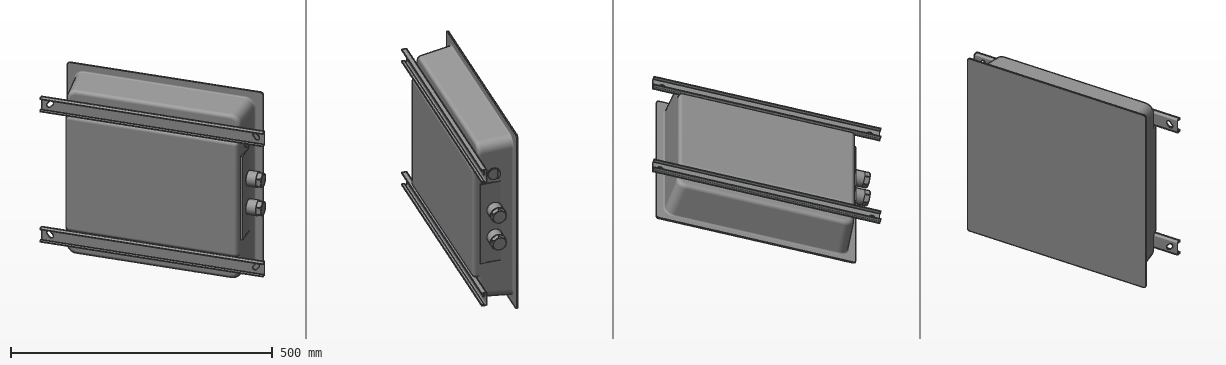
import cadquery as cq
import math


TOLERANCE = 0.05

FLANGE_SIZE = 395.0
FLANGE_THICKNESS = 3.0
FLANGE_CORNER_RADIUS = 5.5
PAN_MOUTH = 362.5
DRAFT_ANGLE = 5.0
LEDGE_DEPTH = 73.0
FACE_DEPTH = 83.0
STEP_HEIGHT = 124.0
PAN_CORNER_RADIUS = 20.0
STEP_FOOT_RADIUS = 1.5
RIM_RADIUS = 7.5
ROOT_RADIUS = 3.0

PAD_FACE_X = 179.0
PAD_DEPTH = 69.8
PAD_HEIGHT = 180.0
PAD_THICKNESS = 6.8

RAIL_LENGTH = 450.0
RAIL_HEIGHT = 30.0
RAIL_FRONT = 84.0
RAIL_SHEET = 1.5
RAIL_BEND = 2.5
HEM_LENGTH = 6.0
HEM_GAP = 1.0
RAIL_OFFSET = 140.5
SLOT_LENGTH = 16.0
SLOT_WIDTH = 9.0
SLOT_OFFSET = 208.0
SLOT_ANGLE = 50.0

FITTING_DEPTH = 42.5
GLAND_HEIGHTS = (30.5, -30.5)
GLAND_NECK_RADIUS = 9.5
GLAND_BODY_RADIUS = 15.5
GLAND_BODY_START = 182.0
GLAND_BODY_END = 201.0
GLAND_END = 212.0
NUT_CORNER_DIAMETER = 31.5
NUT_TURNED_RADIUS = 15.5
NUT_CHAMFER = 2.2
PLUG_HEIGHT = 110.0
PLUG_RADIUS = 12.0
PLUG_SEAT_X = 177.5
PLUG_FACE_X = 181.0
PLUG_LIP_X = 183.5
PLUG_LIP_OFFSET = 6.8


def x_cylinder(radius, start_x, end_x, height):
    """Cylinder along X on the fitting axis at the given height."""
    return (
        cq.Workplane("YZ", origin=(start_x, -FITTING_DEPTH, height))
        .circle(radius)
        .extrude(end_x - start_x)
    )


def edge_box(half_width, half_height, near_depth, far_depth):
    """Selector for the edges whose centres lie in a block centred on the Y axis."""
    return cq.selectors.BoxSelector(
        (-half_width, -far_depth, -half_height),
        (half_width, -near_depth, half_height),
    )


def ledge_cutter(side):
    """Block beyond the step on one end (side = 1 top, -1 bottom), in front of the ledge."""
    depth = FACE_DEPTH
    reach = FLANGE_SIZE / 2 - STEP_HEIGHT
    return cq.Workplane("XY").box(FLANGE_SIZE, depth, reach).translate(
        (0, -LEDGE_DEPTH - depth / 2, side * (STEP_HEIGHT + reach / 2))
    )


def make_tray():
    """Drafted tray with rounded corners, a ledge at each end and a rounded rim."""
    tray = (
        cq.Workplane("XZ", origin=(0, -FLANGE_THICKNESS, 0))
        .rect(PAN_MOUTH, PAN_MOUTH)
        .extrude(FACE_DEPTH - FLANGE_THICKNESS, taper=DRAFT_ANGLE)
    )
    tray = tray.faces("not |Y").edges("not #Y").fillet(PAN_CORNER_RADIUS)
    for side in (1, -1):
        tray = tray.cut(ledge_cutter(side))

    step_feet = edge_box(TOLERANCE, STEP_HEIGHT + TOLERANCE, LEDGE_DEPTH - TOLERANCE, LEDGE_DEPTH + TOLERANCE)
    tray = tray.edges(step_feet).fillet(STEP_FOOT_RADIUS)

    front = edge_box(FLANGE_SIZE, FLANGE_SIZE, LEDGE_DEPTH - TOLERANCE, FACE_DEPTH + TOLERANCE)
    foot_edges = edge_box(
        TOLERANCE,
        STEP_HEIGHT + STEP_FOOT_RADIUS + TOLERANCE,
        LEDGE_DEPTH - TOLERANCE,
        LEDGE_DEPTH + STEP_FOOT_RADIUS + TOLERANCE,
    )
    return tray.edges(front - foot_edges).fillet(RIM_RADIUS)


def make_wall_pad():
    """Flat-faced pad, partly buried in the drafted +X wall."""
    return cq.Workplane("XY").box(
        PAD_THICKNESS, PAD_DEPTH - FLANGE_THICKNESS, PAD_HEIGHT
    ).translate((PAD_FACE_X - PAD_THICKNESS / 2, -(PAD_DEPTH + FLANGE_THICKNESS) / 2, 0))


def make_pan():
    """Flange, tray and gland pad in one piece, with seats for the wall fittings."""
    flange = (
        cq.Workplane("XZ")
        .rect(FLANGE_SIZE, FLANGE_SIZE)
        .extrude(FLANGE_THICKNESS)
        .edges("|Y")
        .fillet(FLANGE_CORNER_RADIUS)
    )
    pan = flange.union(make_tray())
    inside_flange = (PAN_MOUTH + FLANGE_SIZE) / 4
    root = edge_box(
        inside_flange, inside_flange, FLANGE_THICKNESS - TOLERANCE, FLANGE_THICKNESS + TOLERANCE
    )
    pan = pan.edges(root).fillet(ROOT_RADIUS)
    pan = pan.union(make_wall_pad())
    for height in GLAND_HEIGHTS:
        pan = pan.cut(x_cylinder(GLAND_NECK_RADIUS, PAD_FACE_X, GLAND_BODY_START, height))
    return pan.cut(x_cylinder(PLUG_RADIUS, PLUG_SEAT_X, PLUG_LIP_X, PLUG_HEIGHT))


def rail_half_profile():
    """Upper half of the rail section: web, bend, flange and the hem folded back inside it."""
    top = RAIL_HEIGHT / 2
    back = -LEDGE_DEPTH
    front = -RAIL_FRONT
    hem_radius = RAIL_SHEET + HEM_GAP / 2
    inner_bend = RAIL_BEND - RAIL_SHEET
    slant = math.sqrt(0.5)
    bend_y = back - RAIL_BEND
    bend_z = top - RAIL_BEND
    hem_y = front + hem_radius
    hem_z = top - hem_radius
    hem_end = front + HEM_LENGTH
    return (
        cq.Workplane("YZ", origin=(-RAIL_LENGTH / 2, 0, 0))
        .moveTo(back, 0)
        .lineTo(back, bend_z)
        .threePointArc((bend_y + RAIL_BEND * slant, bend_z + RAIL_BEND * slant), (bend_y, top))
        .lineTo(hem_y, top)
        .threePointArc((front, hem_z), (hem_y, top - 2 * hem_radius))
        .lineTo(hem_end, top - 2 * hem_radius)
        .lineTo(hem_end, hem_z - HEM_GAP / 2)
        .lineTo(hem_y, hem_z - HEM_GAP / 2)
        .threePointArc((hem_y - HEM_GAP / 2, hem_z), (hem_y, hem_z + HEM_GAP / 2))
        .lineTo(bend_y, top - RAIL_SHEET)
        .threePointArc(
            (bend_y + inner_bend * slant, bend_z + inner_bend * slant),
            (back - RAIL_SHEET, bend_z),
        )
        .lineTo(back - RAIL_SHEET, 0)
        .close()
    )


def make_rail(side):
    """Hemmed channel on the upper (side = 1) or lower (side = -1) ledge."""
    upper_half = rail_half_profile().extrude(RAIL_LENGTH)
    rail = upper_half.union(upper_half.mirror("XY")).clean()
    for end in (1, -1):
        slot = (
            cq.Workplane("XZ")
            .center(end * SLOT_OFFSET, 0)
            .transformed(rotate=(0, 0, -end * side * SLOT_ANGLE))
            .slot2D(SLOT_LENGTH, SLOT_WIDTH)
            .extrude(RAIL_FRONT)
        )
        rail = rail.cut(slot)
    return rail.translate((0, 0, side * RAIL_OFFSET))


def make_gland(height):
    """Cable gland: neck, round body and a hexagonal nut with a turned end."""
    neck = x_cylinder(GLAND_NECK_RADIUS, PAD_FACE_X, GLAND_BODY_START, height)
    body = x_cylinder(GLAND_BODY_RADIUS, GLAND_BODY_START, GLAND_BODY_END, height)
    nut = (
        cq.Workplane("YZ", origin=(GLAND_BODY_END, -FITTING_DEPTH, height))
        .transformed(rotate=(0, 0, 90))
        .polygon(6, NUT_CORNER_DIAMETER)
        .extrude(GLAND_END - GLAND_BODY_END)
    )
    turned_end = (
        x_cylinder(NUT_TURNED_RADIUS, GLAND_BODY_END, GLAND_END, height)
        .faces(">X")
        .chamfer(NUT_CHAMFER)
    )
    return neck.union(body).union(nut.intersect(turned_end))


def make_plug():
    """Blanking plug with a raised lip along the side nearest the flange."""
    plug = x_cylinder(PLUG_RADIUS, PLUG_SEAT_X, PLUG_LIP_X, PLUG_HEIGHT)
    lip_edge_y = -FITTING_DEPTH + PLUG_LIP_OFFSET
    relief = cq.Workplane("XY").box(PLUG_LIP_X - PLUG_FACE_X, FACE_DEPTH, FACE_DEPTH).translate(
        ((PLUG_LIP_X + PLUG_FACE_X) / 2, lip_edge_y - FACE_DEPTH / 2, PLUG_HEIGHT)
    )
    return plug.cut(relief)


pan = make_pan()
rails = [make_rail(side) for side in (1, -1)]
glands = [make_gland(height) for height in GLAND_HEIGHTS]
plug = make_plug()

result = cq.Compound.makeCompound(
    [pan.val(), plug.val()] + [body.val() for body in rails + glands]
)